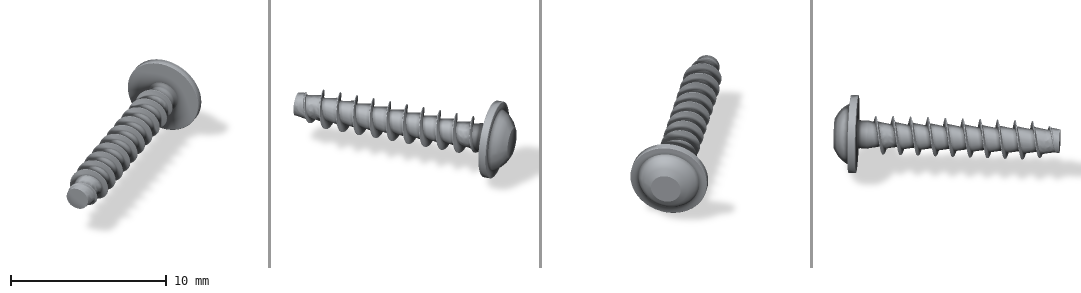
import cadquery as cq
import math

total_length = 14.5
head_height = 1.48
tip_y = head_height - total_length

flange_diameter = 5.0
flange_radius = flange_diameter / 2
flange_thickness = 0.5
flange_edge_chamfer = 0.03
dome_base_radius = 2.0
dome_top_radius = 0.97
dome_mid_radius = 1.55
dome_mid_y = 1.1

shank_radius = 0.9
shank_end_y = -0.68
neck_radius = 1.05
neck_length = 0.3
neck_mid_radius = 0.93
neck_mid_y = -0.12
core_radius = 0.72
core_taper_length = 0.87
tip_excess = 1.16

ten_turn_length = 11.2
pitch = ten_turn_length / 10
crest_radius = 1.25
crest_half_width = 0.022
root_half_width = 0.12
foot_radius = 0.87
buried_radius = 0.65
slope_end_depth = 0.007
slope_end_radius = core_radius - slope_end_depth
slope_end_offset = -0.99
zero_angle_y = -12.44
turns = 10.95
first_angle = -150.0
last_angle = first_angle + 360.0 * turns
tip_crest_radius = 0.75
head_crest_radius = 0.99
tip_foot_radius = 0.74
tip_foot_runout_angle = 210.0
tip_runout_angle = 500.0
head_runout_angle = 200.0
angle_step = 20.0


def make_body():
    """Revolve the head, neck, shank and plain core about the Y axis."""
    return (
        cq.Workplane("XY")
        .moveTo(0, head_height)
        .lineTo(dome_top_radius, head_height)
        .threePointArc((dome_mid_radius, dome_mid_y), (dome_base_radius, flange_thickness))
        .lineTo(flange_radius - flange_edge_chamfer, flange_thickness)
        .lineTo(flange_radius, flange_thickness - flange_edge_chamfer)
        .lineTo(flange_radius, flange_edge_chamfer)
        .lineTo(flange_radius - flange_edge_chamfer, 0)
        .lineTo(neck_radius, 0)
        .threePointArc((neck_mid_radius, neck_mid_y), (shank_radius, -neck_length))
        .lineTo(shank_radius, shank_end_y)
        .lineTo(core_radius, shank_end_y - core_taper_length)
        .lineTo(core_radius, tip_y - tip_excess)
        .lineTo(0, tip_y - tip_excess)
        .close()
        .revolve(360, (0, 0, 0), (0, 1, 0))
    )


def crest_radius_at(angle):
    """Crest radius, growing in from both ends of the thread."""
    tip_growth = (crest_radius - tip_crest_radius) * (angle - first_angle) / tip_runout_angle
    head_growth = (crest_radius - head_crest_radius) * (last_angle - angle) / head_runout_angle
    return min(crest_radius, tip_crest_radius + tip_growth, head_crest_radius + head_growth)


def foot_radius_at(angle):
    """Tip-side foot radius, growing in from the tip end of the thread."""
    growth = (foot_radius - tip_foot_radius) * (angle - first_angle) / tip_foot_runout_angle
    return min(foot_radius, tip_foot_radius + growth)


def helix_edge(radius_at, offset):
    """Helical edge of varying radius, shifted along Y by offset."""
    steps = math.ceil((last_angle - first_angle) / angle_step)
    points = []
    for i in range(steps + 1):
        angle = first_angle + (last_angle - first_angle) * i / steps
        turn = math.radians(angle)
        radius = radius_at(angle)
        y = zero_angle_y + pitch * angle / 360.0 + offset
        points.append(cq.Vector(radius * math.sin(turn), y, radius * math.cos(turn)))
    return cq.Edge.makeSpline(points)


def make_thread():
    """Solid ridge bounded by ruled helical faces and two flat end caps."""
    edges = [
        helix_edge(lambda angle: buried_radius, root_half_width),
        helix_edge(crest_radius_at, crest_half_width),
        helix_edge(crest_radius_at, -crest_half_width),
        helix_edge(foot_radius_at, -root_half_width),
        helix_edge(lambda angle: slope_end_radius, slope_end_offset),
        helix_edge(lambda angle: buried_radius, slope_end_offset),
    ]
    faces = []
    for index, edge in enumerate(edges):
        faces.append(cq.Face.makeRuledSurface(edges[index - 1], edge))
    for corners in ([e.startPoint() for e in edges], [e.endPoint() for e in edges]):
        outline = cq.Wire.makePolygon(corners, close=True)
        faces.append(cq.Face.makeFromWires(outline))
    solid = cq.Solid.makeSolid(cq.Shell.makeShell(faces))
    return cq.Workplane("XY").add(solid.fix())


def make_tip_cutter():
    """Cylinder beyond the tip that trims the core and thread flat."""
    return (
        cq.Workplane("XZ", origin=(0, tip_y, 0))
        .circle(flange_radius)
        .extrude(2 * tip_excess)
    )


result = make_body().union(make_thread()).cut(make_tip_cutter())